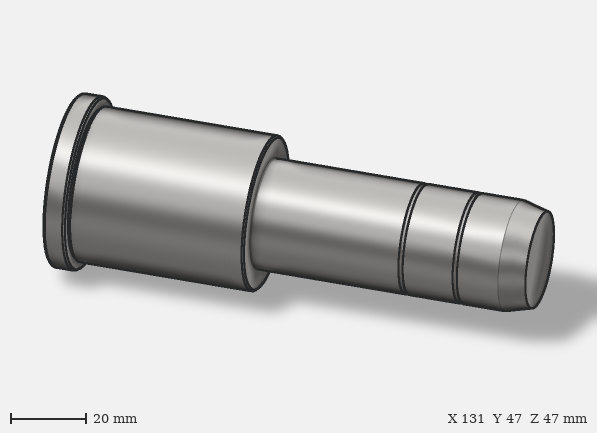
import cadquery as cq
import math

total_length = 131.0

head_diameter = 47.0
head_length = 6.0
head_front_chamfer = 0.5
head_back_chamfer_length = 0.7
head_back_chamfer_drop = 0.4

body_diameter = 42.0
body_end = 55.0
body_chamfer = 0.5

relief_width = 0.8
relief_depth = 0.7

shank_diameter = 30.0
groove_starts = (96.3, 111.4)
groove_width = 1.2
groove_depth = 0.4
foot_radius = 0.3

tip_length = 7.1
tip_angle = 15.0


def cylinder(start, end, diameter):
    """Round bar along X from start to end."""
    return cq.Workplane("YZ").workplane(offset=start).circle(diameter / 2).extrude(end - start)


def ring_groove(start, width, diameter, depth):
    """Square-sided ring to cut into a bar of the given diameter."""
    outer = cylinder(start, start + width, diameter + 2 * depth)
    core = cylinder(start, start + width, diameter - 2 * depth)
    return outer.cut(core)


def round_groove(start, width, diameter, depth):
    """Ring with an arc-shaped floor to cut into a bar of the given diameter."""
    radius = diameter / 2
    profile = (
        cq.Workplane("XY")
        .moveTo(start, radius)
        .threePointArc((start + width / 2, radius - depth), (start + width, radius))
        .lineTo(start + width, radius + depth)
        .lineTo(start, radius + depth)
        .close()
    )
    return profile.revolve(360, (0, 0, 0), (1, 0, 0))


head = cylinder(0, head_length, head_diameter)
head = head.faces("<X").chamfer(head_front_chamfer)
head = head.faces(">X").chamfer(head_back_chamfer_length, head_back_chamfer_drop)

body = cylinder(head_length, body_end, body_diameter).faces(">X").chamfer(body_chamfer)
body = body.cut(ring_groove(head_length, relief_width, body_diameter, relief_depth))

tip_drop = tip_length * math.tan(math.radians(tip_angle))
shank = cylinder(body_end, total_length, shank_diameter)
shank = shank.faces(">X").chamfer(tip_length, tip_drop)

for groove_start in groove_starts:
    shank = shank.cut(round_groove(groove_start, groove_width, shank_diameter, groove_depth))

plug = head.union(body).union(shank)
foot_reach = shank_diameter / 2 + foot_radius
foot_edge = cq.selectors.BoxSelector(
    (body_end - foot_radius, -foot_reach, -foot_reach),
    (body_end + foot_radius, foot_reach, foot_reach),
    boundingbox=True,
)
result = plug.edges(foot_edge).edges("%CIRCLE").fillet(foot_radius)